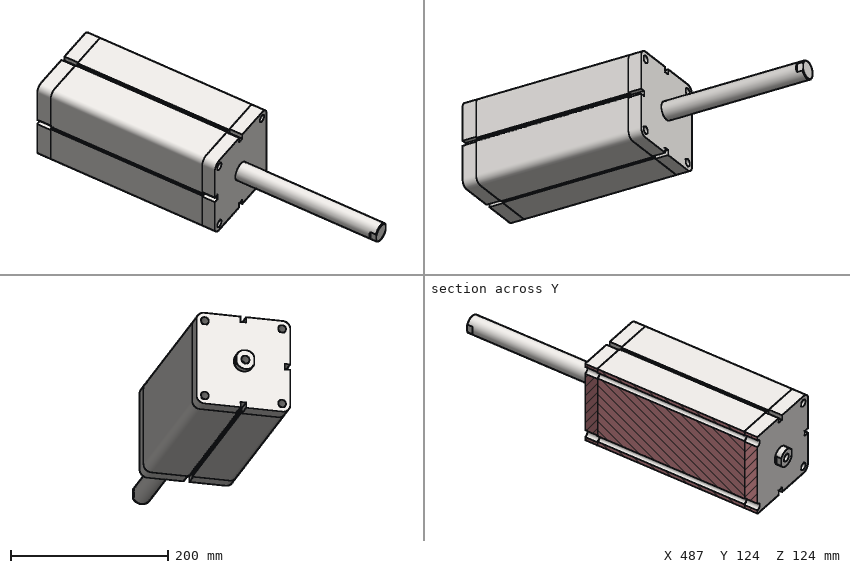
import cadquery as cq
import math

body_size = 124.0
corner_radius = 10.0
shaft_length = 487.0
shaft_overhang = 9.3
left_cap_length = 20.5
tube_length = 227.5
right_cap_length = 19.0

slot_width = 7.5
slot_depth = 7.5
tube_mouth_width = 4.5
tube_lip_thickness = 2.0

screw_spacing = 102.5
cap_hole_diameter = 10.0
tube_hole_diameter = 8.5

shaft_diameter = 26.0
flat_distance = 23.0
left_flat_length = 7.5
right_flat_length = 9.0
end_chamfer = 1.0
blind_hole_diameter = 10.5
blind_hole_depth = 19.5
drill_tip_angle = 118

half_size = body_size / 2
tube_start = left_cap_length
right_cap_start = tube_start + tube_length
shaft_start = -shaft_overhang
shaft_end = shaft_start + shaft_length
slot_turns = (0, 90, 180)


def bar(start, length, width, low, high):
    """Box along X, centred on Y, between two heights."""
    return (
        cq.Workplane("XY", origin=(start, 0, low))
        .box(length, width, high - low, centered=(False, True, False))
    )


def cylinder(start, length, diameter):
    """Cylinder around the X axis."""
    return cq.Workplane("YZ", origin=(start, 0, 0)).circle(diameter / 2).extrude(length)


def section_block(start, length, hole_diameter):
    """Rounded square block with the shaft bore and four corner holes."""
    block = cq.Workplane("YZ", origin=(start, 0, 0)).rect(body_size, body_size).extrude(length)
    block = block.edges("|X").fillet(corner_radius)
    block = block.cut(cylinder(start, length, shaft_diameter))
    holes = (
        cq.Workplane("YZ", origin=(start, 0, 0))
        .rect(screw_spacing, screw_spacing, forConstruction=True)
        .vertices()
        .circle(hole_diameter / 2)
        .extrude(length)
    )
    return block.cut(holes)


def cut_slots(block, slot):
    """Cut a top-side slot into each slotted side of a block."""
    for turn in slot_turns:
        block = block.cut(slot.rotate((0, 0, 0), (1, 0, 0), turn))
    return block


def make_cap(start, length):
    """End cap with plain slots."""
    slot = bar(start, length, slot_width, half_size - slot_depth, half_size)
    return cut_slots(section_block(start, length, cap_hole_diameter), slot)


def make_tube():
    """Middle section whose slots narrow to a mouth between two thin lips."""
    lip_bottom = half_size - tube_lip_thickness
    groove = bar(tube_start, tube_length, slot_width, half_size - slot_depth, lip_bottom)
    mouth = bar(tube_start, tube_length, tube_mouth_width, lip_bottom, half_size)
    return cut_slots(section_block(tube_start, tube_length, tube_hole_diameter), groove.union(mouth))


def cut_flats(shaft, end, inward, length):
    """Trim the +Y and -Y sides at one end; 45 degree shoulders lead back to the full diameter.

    The inward direction along X is 1 at the left end and -1 at the right end.
    """
    near = flat_distance / 2
    far = shaft_diameter
    shoulder_start = end + inward * length
    shoulder_end = shoulder_start + inward * (far - near)
    for side in (-1, 1):
        trim = (
            cq.Workplane("XY")
            .polyline(
                [
                    (end, side * near),
                    (shoulder_start, side * near),
                    (shoulder_end, side * far),
                    (end, side * far),
                ]
            )
            .close()
            .extrude(shaft_diameter / 2, both=True)
        )
        shaft = shaft.cut(trim)
    return shaft


def blind_hole():
    """Drilled hole with a conical bottom in the left end of the shaft."""
    radius = blind_hole_diameter / 2
    tip_height = radius / math.tan(math.radians(drill_tip_angle / 2))
    return (
        cq.Workplane("XY")
        .moveTo(shaft_start, 0)
        .lineTo(shaft_start, radius)
        .lineTo(shaft_start + blind_hole_depth, radius)
        .lineTo(shaft_start + blind_hole_depth + tip_height, 0)
        .close()
        .revolve(360, (0, 0, 0), (1, 0, 0))
    )


def make_shaft():
    """Shaft through all sections, with flats at both ends."""
    shaft = cylinder(shaft_start, shaft_length, shaft_diameter)
    shaft = shaft.faces(">X").chamfer(end_chamfer)
    shaft = cut_flats(shaft, shaft_start, 1, left_flat_length)
    shaft = cut_flats(shaft, shaft_end, -1, right_flat_length)
    return shaft.cut(blind_hole())


left_cap = make_cap(0, left_cap_length)
tube = make_tube()
right_cap = make_cap(right_cap_start, right_cap_length)
shaft = make_shaft()

result = cq.Compound.makeCompound([left_cap.val(), tube.val(), right_cap.val(), shaft.val()])